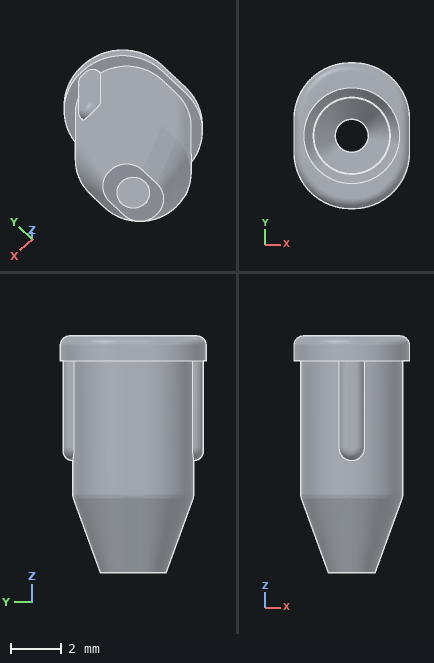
import cadquery as cq
import math

height = 9.4
flange_x = 4.6
flange_y = 5.8
flange_corner = 2.25
flange_thickness = 1.0
flange_rounding = 0.395

body_x = 4.05
body_y = 4.8
body_corner = 2.0
nose_height = 3.01
nose_angle = 20.0
nose_blend = 0.47
shoulder_margin = 0.01

mouth_radius = 1.9
mouth_depth = 0.95
bore_top_radius = 1.53
bore_bottom_radius = 1.5
outlet_radius = 0.65

rib_width = 1.0
rib_bottom = 4.45
rib_span_y = 5.565
rib_rounding = 0.37

flange_bottom = height - flange_thickness


def rounded_outline(size_x, size_y, corner):
    """Closed rectangle with large corner arcs and short flats."""
    return cq.Sketch().rect(size_x, size_y).vertices().fillet(corner)


def make_body():
    """Straight body above a nose that tapers evenly on all sides."""
    outline = rounded_outline(body_x, body_y, body_corner)
    straight = (
        cq.Workplane("XY", origin=(0, 0, nose_height))
        .placeSketch(outline)
        .extrude(flange_bottom - nose_height)
    )
    inset = nose_height * math.tan(math.radians(nose_angle))
    tip = rounded_outline(body_x - 2 * inset, body_y - 2 * inset, body_corner - inset)
    nose = cq.Workplane("XY").placeSketch(tip).extrude(nose_height, taper=-nose_angle)
    shoulder = cq.selectors.BoxSelector(
        (-body_x, -body_y, nose_height - shoulder_margin),
        (body_x, body_y, nose_height + shoulder_margin),
    )
    return straight.union(nose).edges(shoulder).fillet(nose_blend)


def make_flange():
    """Head with a rounded top rim."""
    return (
        cq.Workplane("XY", origin=(0, 0, flange_bottom))
        .placeSketch(rounded_outline(flange_x, flange_y, flange_corner))
        .extrude(flange_thickness)
        .faces(">Z")
        .edges()
        .fillet(flange_rounding)
    )


def make_ribs():
    """Round-ended bar through the body, forming a rib on each Y side."""
    half_width = rib_width / 2
    arc_center = rib_bottom + half_width
    bar = (
        cq.Workplane("XZ")
        .moveTo(-half_width, flange_bottom)
        .lineTo(-half_width, arc_center)
        .threePointArc((0, rib_bottom), (half_width, arc_center))
        .lineTo(half_width, flange_bottom)
        .close()
        .extrude(rib_span_y / 2, both=True)
    )
    return bar.faces("<Y or >Y").edges("not >Z").fillet(rib_rounding)


def make_bore():
    """Conical mouth, nearly straight bore and conical outlet."""
    return (
        cq.Workplane("XZ")
        .moveTo(0, 0)
        .lineTo(outlet_radius, 0)
        .lineTo(bore_bottom_radius, nose_height)
        .lineTo(bore_top_radius, height - mouth_depth)
        .lineTo(mouth_radius, height)
        .lineTo(0, height)
        .close()
        .revolve(360, (0, 0, 0), (0, 1, 0))
    )


result = make_body().union(make_flange()).union(make_ribs()).cut(make_bore())